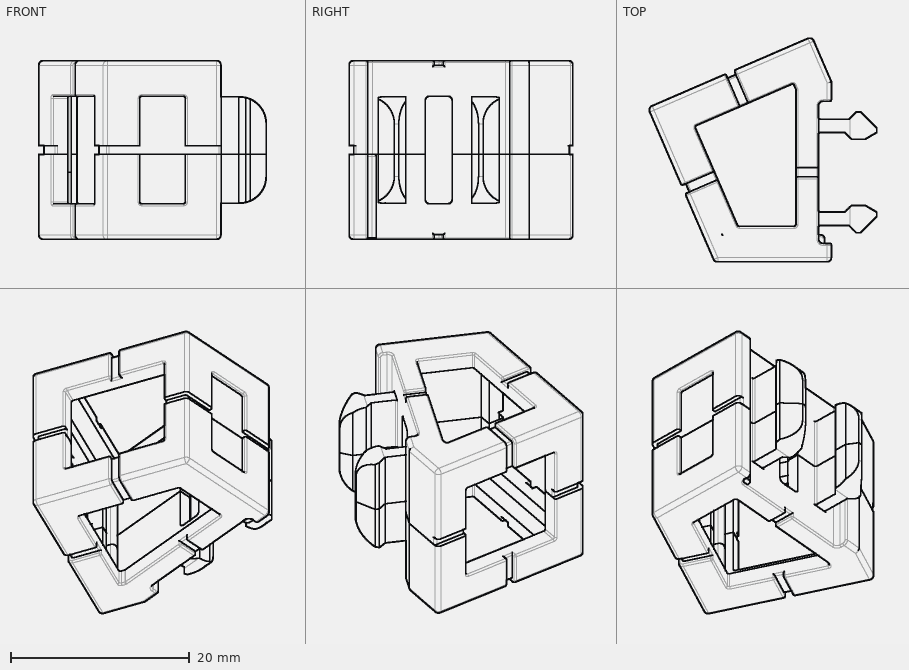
import cadquery as cq
import math

HEIGHT = 20.0
TILT = 23.4
LEG_FACE_X = 20.39
LEFT_WALL_LENGTH = 18.8
EDGE_RADIUS = 0.5
LIP_RADIUS = 0.2

RIM = 4.0
WALL = RIM / 2
WINDOW_HEIGHT = HEIGHT - 2 * RIM
WINDOW_WIDTH = WINDOW_HEIGHT
GROOVE_WIDTH = 1.0
GROOVE_DEPTH = 0.5
BELT_CORNER_RADIUS = 0.25

MOUNT_CENTRE_Y = 10.03
CHANNEL_FLOOR_X = 18.93
CHANNEL_WIDTH = 15.88
MOUNT_WALL_THICKNESS = 1.5
CHANNEL_CORNER_RADIUS = 0.5
SLOT_WIDTH = 3.0
SLOT_CORNER_RADIUS = 0.5

KEY_REACH = 0.7
KEY_WIDTH = 0.97
KEY_RADIUS = 0.5

SPLIT_Z = -GROOVE_WIDTH / 2
PEG_SIZE = 1.02
PEG_RADIUS = 0.5
PEG_END_Z = -2.5

HOOK_TIP_X = 25.45
HOOK_HEIGHT = 11.9
HOOK_TIP_RADIUS = 3.0
STEM_INNER = 4.43
STEM_OUTER = 5.95
BARB_INNER = 3.7
BARB_OUTER = 6.77
TIP_INNER = 4.45
TIP_OUTER = 4.96
INNER_BARB_X = 22.63
INNER_BARB_END_X = 24.15
OUTER_BARB_X = 23.15
OUTER_BARB_END_X = 23.65

COS = math.cos(math.radians(TILT))
SIN = math.sin(math.radians(TILT))
FRONT_CORNER_X = LEFT_WALL_LENGTH * SIN - EDGE_RADIUS * (COS + SIN - 1)
FRONT_LEFT = (FRONT_CORNER_X, 0.0)
FRONT_RIGHT = (LEG_FACE_X, 0.0)
LEFT = (FRONT_CORNER_X - LEFT_WALL_LENGTH * SIN, LEFT_WALL_LENGTH * COS)
BACK = (LEFT[0] + HEIGHT * COS, LEFT[1] + HEIGHT * SIN)
SHOULDER = (LEG_FACE_X, BACK[1] - (LEG_FACE_X - BACK[0]) * COS / SIN)
POCKET_WIDTH = LEG_FACE_X - FRONT_CORNER_X - 2 * RIM
TOP = HEIGHT / 2
CAVITY_TOP = TOP - WALL
FAR = 3 * HEIGHT
MARGIN = 0.013


def wall_plane(start, direction, centre):
    """Plane on a wall: x along it, y up, z outwards, origin at its window centre."""
    origin = (start[0] + centre * direction[0], start[1] + centre * direction[1], 0)
    return cq.Plane(origin=origin, xDir=(*direction, 0), normal=(direction[1], -direction[0], 0))


LEFT_WALL = wall_plane(LEFT, (SIN, -COS), HEIGHT / 2)
BACK_WALL = wall_plane(BACK, (-COS, -SIN), HEIGHT / 2)
FRONT_WALL = wall_plane(FRONT_LEFT, (1, 0), (LEG_FACE_X - FRONT_CORNER_X) / 2)
MOUNT_WALL = wall_plane(FRONT_RIGHT, (0, 1), MOUNT_CENTRE_Y)


class EdgesInWall(cq.Selector):
    """Edges whose points, in the coordinates of a plane, all pass a test."""

    def __init__(self, plane, test):
        self.plane = plane
        self.test = test

    def filter(self, objects):
        return [edge for edge in objects if self.passes(edge)]

    def passes(self, edge):
        points = [self.plane.toLocalCoords(edge.positionAt(t)) for t in (0, 0.5, 1)]
        return all(self.test(p.x, p.y, p.z) for p in points)


def outline_prism(inset, height):
    """Upright prism of the block outline moved inwards, centred on z = 0."""
    plan = cq.Workplane("XY").polyline([FRONT_LEFT, FRONT_RIGHT, SHOULDER, BACK, LEFT]).close()
    if inset:
        plan = plan.offset2D(-inset, "intersection")
    return plan.extrude(height / 2, both=True)


def upright_at(points, reach):
    """Selector of the upright edges that stand close to the given plan points."""
    return EdgesInWall(cq.Plane.XY(), lambda x, y, z: any(math.dist((x, y), p) < reach for p in points))


def rounded_block():
    """Solid block with the belt groove round its left, back and front walls."""
    block = outline_prism(0, HEIGHT)
    for plane in (LEFT_WALL, BACK_WALL, FRONT_WALL):
        block = block.cut(cq.Workplane(plane).rect(FAR, GROOVE_WIDTH).extrude(-GROOVE_DEPTH))
    corners = [FRONT_LEFT, FRONT_RIGHT, BACK, LEFT]
    block = block.edges("|Z").edges(upright_at(corners, MARGIN)).fillet(EDGE_RADIUS)
    belt_corners = EdgesInWall(cq.Plane.XY(), lambda x, y, z: abs(z) < GROOVE_WIDTH / 2 + MARGIN)
    beside_corners = upright_at(corners, 2 * GROOVE_DEPTH)
    block = block.edges("|Z").edges(belt_corners).edges(beside_corners).fillet(BELT_CORNER_RADIUS)
    return block.faces(">Z or <Z").edges().fillet(EDGE_RADIUS)


def cut_rim_groove(block, plane, down_the_wall):
    """Groove with rounded lips across both rims, and down the wall face if asked."""
    groove = cq.Workplane(plane).rect(GROOVE_WIDTH, HEIGHT).extrude(-RIM - GROOVE_WIDTH)
    core_top = -GROOVE_DEPTH if down_the_wall else GROOVE_DEPTH
    core = cq.Workplane(plane).workplane(offset=core_top).rect(FAR, HEIGHT - 2 * GROOVE_DEPTH).extrude(-FAR)

    def on_lip(x, y, z):
        on_face = abs(z) < MARGIN or abs(abs(y) - TOP) < MARGIN
        on_rounding = abs(y) > TOP - EDGE_RADIUS - MARGIN and z > -EDGE_RADIUS - MARGIN
        return abs(abs(x) - GROOVE_WIDTH / 2) < MARGIN and (on_face or on_rounding)

    def on_floor_corner(x, y, z):
        at_corner = max(abs(abs(y) - TOP + GROOVE_DEPTH), abs(z + GROOVE_DEPTH)) < MARGIN
        return at_corner and abs(x) < GROOVE_WIDTH / 2 + MARGIN

    block = block.cut(groove.cut(core))
    if down_the_wall:
        block = block.edges(EdgesInWall(plane, on_floor_corner)).fillet(LIP_RADIUS)
    return block.edges(EdgesInWall(plane, on_lip)).fillet(LIP_RADIUS)


def rounded_prism(plane, width, height, depth, radius):
    """Prism going into a wall from its face, with rounded corners."""
    prism = cq.Workplane(plane).rect(width, height).extrude(-depth)
    return prism.edges(cq.selectors.ParallelDirSelector(plane.zDir)).fillet(radius)


def cut_window(block, plane, width, depth):
    """Window or pocket in a wall, with rounded lips on the face and on the groove floors."""
    block = block.cut(rounded_prism(plane, width, WINDOW_HEIGHT, depth, LIP_RADIUS))
    levels = [0, -GROOVE_DEPTH] if depth > GROOVE_DEPTH else [0]

    def on_lip(x, y, z):
        at_window = abs(x) < width / 2 + MARGIN and abs(y) < WINDOW_HEIGHT / 2 + MARGIN
        return at_window and any(abs(z - level) < MARGIN for level in levels)

    return block.edges(EdgesInWall(plane, on_lip)).fillet(LIP_RADIUS)


def cut_channel(block):
    """Channel between the mounting legs, with rounded corners and lips."""
    depth = LEG_FACE_X - CHANNEL_FLOOR_X
    channel = cq.Workplane(MOUNT_WALL).rect(CHANNEL_WIDTH, FAR).extrude(2 * depth, both=True)
    channel = channel.intersect(cq.Workplane(MOUNT_WALL).workplane(offset=-depth).rect(FAR, FAR).extrude(FAR))
    block = block.cut(channel.edges("|Z and <X").fillet(CHANNEL_CORNER_RADIUS))

    def on_lip(x, y, z):
        at_channel = abs(x) < CHANNEL_WIDTH / 2 + MARGIN and z > -depth - MARGIN
        return at_channel and abs(y) > TOP - EDGE_RADIUS - MARGIN

    return block.edges(EdgesInWall(MOUNT_WALL, on_lip)).fillet(LIP_RADIUS)


def cut_opening(block):
    """Opening through the top and bottom rims, with rounded lips."""
    opening = outline_prism(RIM, FAR).edges("|Z").fillet(LIP_RADIUS)
    block = block.cut(opening)
    box = opening.val().BoundingBox()

    def on_lip(x, y, z):
        in_x = box.xmin - MARGIN < x < box.xmax + MARGIN
        in_y = box.ymin - MARGIN < y < box.ymax + MARGIN
        below_top = TOP - abs(z)
        return in_x and in_y and min(abs(below_top), abs(below_top - GROOVE_DEPTH)) < MARGIN

    return block.edges(EdgesInWall(cq.Plane.XY(), on_lip)).fillet(LIP_RADIUS)


def inner_space():
    """Cavity that leaves a wall on every side, with a thinner one behind the channel."""
    cavity = outline_prism(WALL, 2 * CAVITY_TOP)
    mount_wall_inside = CHANNEL_FLOOR_X - MOUNT_WALL_THICKNESS
    behind_channel = cq.Workplane("YZ", origin=(mount_wall_inside, 0, 0)).rect(FAR, FAR).extrude(-FAR)
    return cavity.intersect(behind_channel)


def corner_post(plane, corner_side, bottom, top):
    """Post in the cavity corner at one end of a wall, with its free edge rounded."""
    near = corner_side * (HEIGHT / 2 - WALL)
    far = near - corner_side * PEG_SIZE
    post = cq.Workplane(plane).workplane(offset=-WALL - PEG_SIZE / 2).center((near + far) / 2, 0)
    post = post.rect(PEG_SIZE, FAR).extrude(PEG_SIZE / 2, both=True)
    free_edge = EdgesInWall(plane, lambda x, y, z: max(abs(x - far), abs(z + WALL + PEG_SIZE)) < MARGIN)
    post = post.edges(free_edge).fillet(PEG_RADIUS)
    layer = cq.Workplane("XY", origin=(0, 0, bottom)).rect(FAR, FAR).extrude(top - bottom)
    return post.intersect(layer).intersect(inner_space())


def corner_posts(bottom, top):
    """Posts at the two ends of the back wall."""
    return corner_post(BACK_WALL, 1, bottom, top).union(corner_post(BACK_WALL, -1, bottom, top))


def hook(side):
    """Snap hook on one side (1 or -1) of the mount mid-line."""
    outline = [
        (CHANNEL_FLOOR_X - MOUNT_WALL_THICKNESS / 2, STEM_OUTER),
        (OUTER_BARB_X - (BARB_OUTER - STEM_OUTER), STEM_OUTER),
        (OUTER_BARB_X, BARB_OUTER),
        (OUTER_BARB_END_X, BARB_OUTER),
        (HOOK_TIP_X, TIP_OUTER),
        (HOOK_TIP_X, TIP_INNER),
        (INNER_BARB_END_X, BARB_INNER),
        (INNER_BARB_X, BARB_INNER),
        (INNER_BARB_X - (STEM_INNER - BARB_INNER), STEM_INNER),
        (CHANNEL_FLOOR_X - MOUNT_WALL_THICKNESS / 2, STEM_INNER),
    ]
    points = [(x, MOUNT_CENTRE_Y + side * distance) for x, distance in outline]
    body = cq.Workplane("XY").polyline(points).close().extrude(HOOK_HEIGHT / 2, both=True)
    tongue = cq.Workplane("XY").box(2 * HOOK_TIP_X, FAR, HOOK_HEIGHT)
    return body.intersect(tongue.edges("|Y and >X").fillet(HOOK_TIP_RADIUS))


def add_hooks(block):
    """Two hooks whose stems blend into the channel floor."""
    for side in (1, -1):
        block = block.union(hook(side))
    depth = LEG_FACE_X - CHANNEL_FLOOR_X

    def on_root(x, y, z):
        at_stem = STEM_INNER - MARGIN < abs(x) < STEM_OUTER + MARGIN
        return at_stem and abs(z + depth) < MARGIN and abs(y) < HOOK_HEIGHT / 2 + MARGIN

    return block.edges("|Z").edges(EdgesInWall(MOUNT_WALL, on_root)).fillet(LIP_RADIUS)


def key():
    """Rounded key in the front corner of the channel, on the lower half only."""
    start_y = MOUNT_CENTRE_Y - CHANNEL_WIDTH / 2
    bottom = -TOP + LIP_RADIUS
    body = cq.Workplane("XY", origin=(CHANNEL_FLOOR_X, start_y, bottom))
    body = body.rect(KEY_REACH, KEY_WIDTH, centered=False).extrude(SPLIT_Z - bottom)
    body = body.edges("|Z and >X and >Y").fillet(KEY_RADIUS)
    return body.faces(">Z").edges("not(<X or <Y)").fillet(LIP_RADIUS)


def housing():
    """The whole frame before it is split into its two halves."""
    block = rounded_block()
    for plane, down_the_wall in ((LEFT_WALL, True), (BACK_WALL, True), (MOUNT_WALL, False)):
        block = cut_rim_groove(block, plane, down_the_wall)
    block = cut_opening(cut_channel(block))
    for plane in (LEFT_WALL, BACK_WALL):
        block = cut_window(block, plane, WINDOW_WIDTH, RIM)
    block = cut_window(block, FRONT_WALL, POCKET_WIDTH, GROOVE_DEPTH)
    block = block.cut(inner_space()).union(corner_posts(-CAVITY_TOP, CAVITY_TOP))
    block = add_hooks(block)
    return block.cut(rounded_prism(MOUNT_WALL, SLOT_WIDTH, WINDOW_HEIGHT, RIM, SLOT_CORNER_RADIUS))


frame = housing()
above_split = cq.Workplane("XY", origin=(0, 0, SPLIT_Z)).rect(FAR, FAR).extrude(FAR)
pegs = corner_posts(PEG_END_Z, SPLIT_Z)
upper_half = frame.intersect(above_split).union(pegs)
lower_half = frame.cut(above_split).cut(pegs).union(key())

result = cq.Compound.makeCompound([upper_half.val(), lower_half.val()])